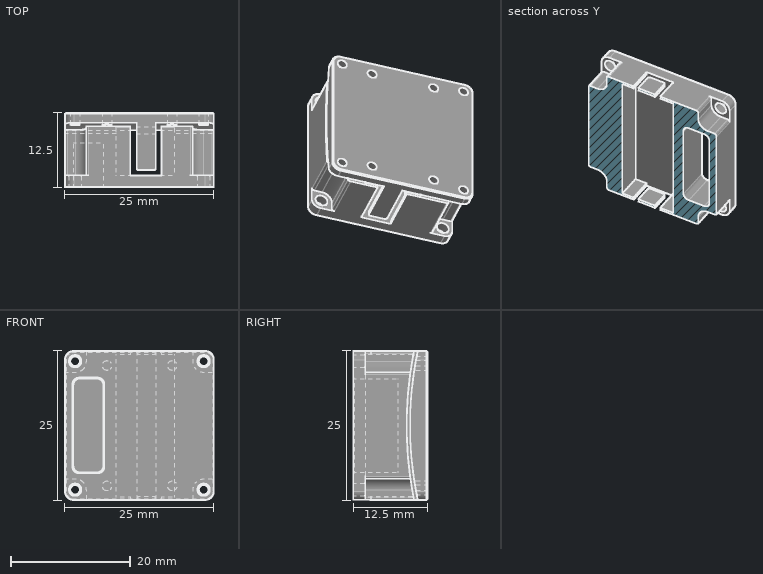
import cadquery as cq

width = 25.0
base_height = 25.0
lid_height = 25.02
total_depth = 12.5
corner_radius = 1.5

lid_edge_thickness = 1.65
lid_middle_thickness = 2.97
base_edge_inset = 2.28
base_middle_inset = 3.5
lid_back_chamfer = 0.2

flange_thickness = 2.0
notch_size = 3.55
notch_inner_radius = 1.8
notch_outer_radius = 0.4
wall_thickness = 0.55
cavity_x_min = -4.0
cavity_x_max = 5.85

pocket_width = 5.0
pocket_height = 15.7
pocket_center_x = -8.55
pocket_depth = 7.5
pocket_corner_radius = 1.0
pocket_chamfer = 0.2

screw_offset = 10.78
base_screw_diameter = 2.1
lid_screw_diameter = 1.6
inner_hole_x = 5.47
inner_hole_z = 10.1

slot_center_x = 1.1
slot_width = 5.2
clip_center_x = 1.15
clip_width = 3.25
clip_thickness = 0.6
clip_tip_y = 2.88
clip_tip_chamfer = 0.2


def box_between(x_range, y_range, z_range):
    """Block spanning the given (low, high) limits."""
    low = [limits[0] for limits in (x_range, y_range, z_range)]
    size = [limits[1] - limits[0] for limits in (x_range, y_range, z_range)]
    return cq.Workplane("XY").box(*size, centered=False).translate(tuple(low))


def plane_facing_front(y):
    """Workplane at depth y with local X, Y along global X, Z; negative extrusion runs toward +Y."""
    return cq.Workplane(cq.Plane(origin=(0, y, 0), xDir=(1, 0, 0), normal=(0, -1, 0)))


def rounded_block(height, y_start, y_end):
    """Square block with rounded corners, running from y_start to y_end."""
    return (
        plane_facing_front(y_start)
        .rect(width, height)
        .extrude(y_start - y_end)
        .edges("|Y")
        .fillet(corner_radius)
    )


def curve_cylinder(middle_inset, edge_inset, height, offset=0):
    """Cylinder along X; its surface lies middle_inset in front of the lid back face at mid-height
    and edge_inset in front of it at the ends of the given height. The offset enlarges the radius."""
    sag = middle_inset - edge_inset
    radius = ((height / 2) ** 2 + sag**2) / (2 * sag)
    axis_y = total_depth - middle_inset + radius
    return (
        cq.Workplane("YZ", origin=(-width, 0, 0))
        .center(axis_y, 0)
        .circle(radius + offset)
        .extrude(2 * width)
    )


def lid_cylinder(offset=0):
    return curve_cylinder(lid_middle_thickness, lid_edge_thickness, lid_height, offset)


def drill(points, diameter):
    """Rods along Y that cut holes through the full depth."""
    return plane_facing_front(0).pushPoints(points).circle(diameter / 2).extrude(-total_depth)


def centered_range(center, size):
    return (center - size / 2, center + size / 2)


corner_points = [(sx * screw_offset, sz * screw_offset) for sx in (-1, 1) for sz in (-1, 1)]


def base_box():
    inner_half = width / 2 - notch_size
    box_y = (flange_thickness, total_depth)
    upright = box_between((-inner_half, inner_half), box_y, centered_range(0, base_height))
    crossbar = box_between(centered_range(0, width), box_y, (-inner_half, inner_half))
    cross = upright.union(crossbar)
    zone_limit = width / 2 - notch_size / 2
    inner_zone = cq.selectors.BoxSelector(
        (-zone_limit, 0, -zone_limit), (zone_limit, total_depth, zone_limit)
    )
    cross = cross.edges("|Y").edges(inner_zone).fillet(notch_inner_radius)
    outer_ends = cross.faces("<X or >X or <Z or >Z").edges("|Y")
    return outer_ends.fillet(notch_outer_radius)


def front_pocket():
    pocket_x = centered_range(pocket_center_x, pocket_width)
    pocket_z = centered_range(0, pocket_height)
    tool = box_between(pocket_x, (0, pocket_depth), pocket_z).edges("|Y").fillet(pocket_corner_radius)
    rim = (
        plane_facing_front(0)
        .center(pocket_center_x, 0)
        .sketch()
        .rect(pocket_width + 2 * pocket_chamfer, pocket_height + 2 * pocket_chamfer)
        .vertices()
        .fillet(pocket_corner_radius + pocket_chamfer)
        .finalize()
        .extrude(-pocket_chamfer, taper=45)
    )
    return tool.union(rim)


def make_base():
    body = rounded_block(base_height, 0, flange_thickness).union(base_box())
    body = body.cut(curve_cylinder(base_middle_inset, base_edge_inset, base_height))
    inside_y = (flange_thickness, total_depth)
    cavity_z = centered_range(0, base_height - 2 * wall_thickness)
    body = body.cut(box_between((cavity_x_min, cavity_x_max), inside_y, cavity_z))
    slot_x = centered_range(slot_center_x, slot_width)
    body = body.cut(box_between(slot_x, inside_y, centered_range(0, base_height)))
    body = body.cut(front_pocket())
    return body.cut(drill(corner_points, base_screw_diameter))


def make_clip():
    """Strap that follows the curved joint and turns forward at both ends."""
    clip_x = centered_range(clip_center_x, clip_width)
    full_z = centered_range(0, lid_height)
    clip_y = (clip_tip_y, total_depth - lid_back_chamfer)
    block = box_between(clip_x, clip_y, full_z)
    block = block.faces("<Y").edges("|Z").chamfer(clip_tip_chamfer)
    opening = box_between(clip_x, clip_y, centered_range(0, lid_height - 2 * clip_thickness))
    return block.cut(opening.cut(lid_cylinder(clip_thickness)))


def make_lid():
    plate = rounded_block(lid_height, 0, total_depth).faces(">Y").chamfer(lid_back_chamfer)
    plate = plate.intersect(lid_cylinder())
    inner_points = [(sx * inner_hole_x, sz * inner_hole_z) for sx in (-1, 1) for sz in (-1, 1)]
    plate = plate.cut(drill(corner_points + inner_points, lid_screw_diameter))
    return plate.union(make_clip())


base = make_base()
lid = make_lid()

result = cq.Compound.makeCompound([base.val(), lid.val()])